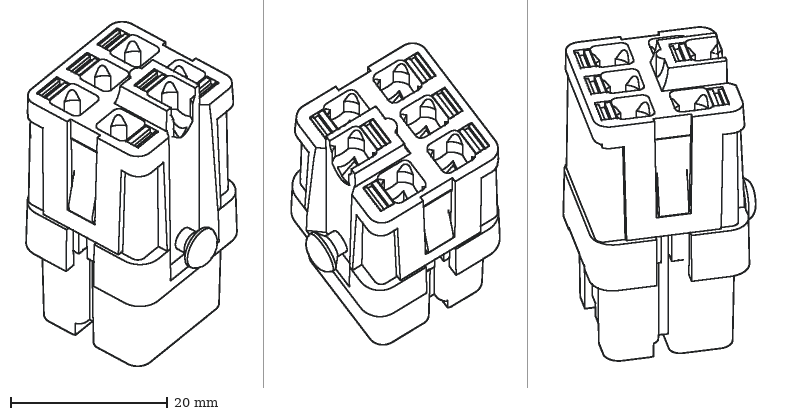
import cadquery as cq

import math

LOWER_GAP_TOP = 14.6
COLLAR_BOTTOM = 12.2
COLLAR_TOP = 19.15
PANEL_BOTTOM = 19.55
RIM_BOTTOM = 33.95
BODY_TOP = 37.25
TOWER_TOP = 40.6

OVERALL_LENGTH = 23.22
COLLAR_WIDTH = 21.0
COLLAR_HALF = COLLAR_WIDTH / 2

LOWER_AT_BOTTOM = (-8.5, 8.5, 8.7)
LOWER_AT_COLLAR = (-8.6, 8.65, 8.95)
COLLAR_AT_BOTTOM = (-COLLAR_HALF, COLLAR_HALF, COLLAR_HALF)
COLLAR_AT_TOP = (-10.4, 10.4, 10.35)
BODY_AT_COLLAR = (-9.95, 8.9, 9.38)
BODY_AT_RIM = (-9.8, 8.73, 9.2)
RIM_AT_TOP = (-10.05, 9.55, 10.0)

PANEL_FACE_AT_BOTTOM = 10.27
PANEL_SLOPE = (PANEL_FACE_AT_BOTTOM - RIM_AT_TOP[2]) / (BODY_TOP - PANEL_BOTTOM)
RIM_AT_BOTTOM = (-10.1, 9.75, RIM_AT_TOP[2] + PANEL_SLOPE * (BODY_TOP - RIM_BOTTOM))

LOWER_DRAFT = math.degrees(math.atan((LOWER_AT_COLLAR[2] - LOWER_AT_BOTTOM[2]) / COLLAR_BOTTOM))

LOWER_RADIUS = 2.05
COLLAR_RADIUS = 3.05
BODY_RADIUS = 1.05
RIM_RADIUS = 2.05

RIM_STEP_X = -9.25
RIM_STEP_HEIGHT = 0.45

POCKET_SIZE = 4.95
POCKET_RADIUS = 0.9
POCKET_PITCH = 6.15
LEFT_POCKET_X = -4.45
RIGHT_POCKET_X = 3.2
TOWER_POCKET_X = 6.65
CORNER_CONE_RADIUS = 3.15
POCKET_BORE_RADIUS = 2.68
CORNER_CONE_START = 0.95
CORNER_CONE_END = 2.4
FUNNEL_START = 5.28
FUNNEL_END = 7.3
FUNNEL_TIP_RADIUS = 1.3
WELL_X = 2.6
WELL_Y = 2.95
WELL_DEPTH = 10.15

SLOT_LENGTH = 4.05
SLOT_STEPS = ((0.75, 0.2), (0.77, 0.9), (0.53, 0.32))
SLOT_WALL = 0.05

TOWER_END_X = 8.53
TOWER_FRONT_AT_TOP = 0.8
TOWER_FRONT_MIDWAY = 0.55
TOWER_FRONT_AT_BASE = -0.05
TOWER_HALF_AT_TOP = 3.3
TOWER_HALF_AT_BASE = 3.4
TOWER_KEY_RADIUS = 1.18

PANEL_HALF_AT_TOP = 6.5
PANEL_HALF_AT_BOTTOM = 6.2
CHANNEL_HALF_AT_TOP = 2.48
CHANNEL_HALF_AT_BOTTOM = 2.27
CHANNEL_BOTTOM = 22.5
CHANNEL_RIM_FLOOR = 9.35
LATCH_HALF_WIDTH = 1.95
LATCH_BOTTOM = 22.65
LATCH_EDGE = 23.7
LATCH_TOP = 28.65
LATCH_FACE = 10.3

COLLAR_GAP_HALF = 2.27
GROOVE_LEFT = -1.4
GROOVE_RIGHT = 0.0
GROOVE_FLOOR = 6.82
GROOVE_EDGE_RADIUS = 1.5

RECESS_HALF = 4.0
RECESS_DEPTH = 0.95
RELIEF_HALF = 4.55
RELIEF_HEIGHT = 0.3
NOTCH_INNER = 2.07
NOTCH_HEIGHT = 2.0
NOTCH_LEFT = -2.27

RIB_OUTER = 5.45
RIB_FACE_AT_COLLAR = 10.35
SCREW_GROOVE_HALF = 3.25
SCREW_GROOVE_FLARE_HALF = 4.95
SCREW_GROOVE_FLARE_X = 10.5
SCREW_Z = 16.65
SHANK_RADIUS = 1.55
HEAD_RADIUS = 2.8
HEAD_START = 10.0
HEAD_EDGE = 11.12
HEAD_EDGE_END = 11.55
HEAD_END = OVERALL_LENGTH - COLLAR_HALF
HEAD_FLAT_RADIUS = 1.45
DOME_MIDPOINT = (12.3, 2.3)

CLEAR = 2.05


def box(x0, x1, y0, y1, z0, z1):
    return cq.Workplane("XY").box(x1 - x0, y1 - y0, z1 - z0, centered=False).translate((x0, y0, z0))


def on_both_sides(shape):
    """The shape together with its mirror image across the plane y = 0."""
    return shape.union(shape.mirror("XZ"))


def rounded_section(section, radius):
    left, right, half = section
    sketch = cq.Sketch().rect(right - left, 2 * half).vertices().fillet(radius)
    return sketch.moved(cq.Location(cq.Vector((left + right) / 2, 0, 0)))


def drafted_block(bottom, top, radius, z0, z1):
    lower = rounded_section(bottom, radius)
    upper = rounded_section(top, radius).moved(cq.Location(cq.Vector(0, 0, z1 - z0)))
    return cq.Workplane("XY", origin=(0, 0, z0)).placeSketch(lower, upper).loft()


def prism_along_y(points, y0, y1):
    return cq.Workplane("XZ", origin=(0, y0, 0)).polyline(points).close().extrude(y0 - y1)


def prism_along_x(points, x0, x1):
    return cq.Workplane("YZ", origin=(x0, 0, 0)).polyline(points).close().extrude(x1 - x0)


def make_housing():
    lower = drafted_block(LOWER_AT_BOTTOM, LOWER_AT_COLLAR, LOWER_RADIUS, 0, COLLAR_BOTTOM)
    collar = drafted_block(COLLAR_AT_BOTTOM, COLLAR_AT_TOP, COLLAR_RADIUS, COLLAR_BOTTOM, COLLAR_TOP)
    body_top = RIM_BOTTOM + RIM_STEP_HEIGHT
    body = drafted_block(BODY_AT_COLLAR, BODY_AT_RIM, BODY_RADIUS, COLLAR_TOP, body_top)
    rim = drafted_block(RIM_AT_BOTTOM, RIM_AT_TOP, RIM_RADIUS, RIM_BOTTOM, BODY_TOP)
    rim_step = box(
        RIM_AT_BOTTOM[0] - CLEAR, RIM_STEP_X, -RIM_AT_BOTTOM[2] - CLEAR, RIM_AT_BOTTOM[2] + CLEAR,
        RIM_BOTTOM, body_top,
    )
    return lower.union(collar).union(body).union(rim.cut(rim_step))


def make_panel():
    """Drafted panel standing proud of the front of the body."""
    side_profile = [
        (0, PANEL_BOTTOM),
        (-PANEL_FACE_AT_BOTTOM, PANEL_BOTTOM),
        (-RIM_AT_BOTTOM[2], RIM_BOTTOM),
        (0, RIM_BOTTOM),
    ]
    outline = [
        (-PANEL_HALF_AT_BOTTOM, PANEL_BOTTOM),
        (PANEL_HALF_AT_BOTTOM, PANEL_BOTTOM),
        (PANEL_HALF_AT_TOP, RIM_BOTTOM),
        (-PANEL_HALF_AT_TOP, RIM_BOTTOM),
    ]
    slab = prism_along_x(side_profile, -PANEL_HALF_AT_TOP, PANEL_HALF_AT_TOP)
    return slab.intersect(prism_along_y(outline, -PANEL_FACE_AT_BOTTOM, 0))


def make_channel():
    """Latch channel, as deep as the body wall in the panel and a little shallower in the rim."""
    outline = [
        (-CHANNEL_HALF_AT_BOTTOM, CHANNEL_BOTTOM),
        (CHANNEL_HALF_AT_BOTTOM, CHANNEL_BOTTOM),
        (CHANNEL_HALF_AT_TOP, BODY_TOP),
        (-CHANNEL_HALF_AT_TOP, BODY_TOP),
    ]
    channel = prism_along_y(outline, -PANEL_FACE_AT_BOTTOM - CLEAR, -BODY_AT_RIM[2])
    sill = box(
        -CHANNEL_HALF_AT_TOP, CHANNEL_HALF_AT_TOP, -CHANNEL_RIM_FLOOR, -BODY_AT_RIM[2], RIM_BOTTOM, BODY_TOP
    )
    return channel.cut(sill)


def make_latch():
    profile = [
        (-BODY_AT_RIM[2], LATCH_BOTTOM),
        (-LATCH_FACE, LATCH_BOTTOM),
        (-LATCH_FACE, LATCH_EDGE),
        (-BODY_AT_RIM[2], LATCH_TOP),
    ]
    return prism_along_x(profile, -LATCH_HALF_WIDTH, LATCH_HALF_WIDTH)


def tilt_to_lower_face(shape):
    """Lean an upright cutter on the bottom edge of the front face, to follow that face's draft."""
    front = -LOWER_AT_BOTTOM[2]
    return shape.rotate((0, front, 0), (1, front, 0), LOWER_DRAFT)


def make_collar_gap():
    """Gap that carries the front face of the lower block up to the panel."""
    front = -LOWER_AT_BOTTOM[2]
    gap = box(-COLLAR_GAP_HALF, COLLAR_GAP_HALF, front - CLEAR, front, COLLAR_BOTTOM, TOWER_TOP)
    below_panel = box(
        -COLLAR_GAP_HALF, COLLAR_GAP_HALF, front - 2 * CLEAR, front + CLEAR, COLLAR_BOTTOM, PANEL_BOTTOM
    )
    return tilt_to_lower_face(gap).intersect(below_panel)


def make_groove():
    """Vertical groove with rounded front edges, square-edged above the rounds."""
    front = -LOWER_AT_BOTTOM[2]
    straight = box(GROOVE_LEFT, GROOVE_RIGHT, front - CLEAR, -GROOVE_FLOOR, 0, PANEL_BOTTOM)
    r = GROOVE_EDGE_RADIUS
    mouth = box(GROOVE_LEFT - r, GROOVE_RIGHT + r, front, front + r, -CLEAR, LOWER_GAP_TOP)
    for x in (GROOVE_LEFT - r, GROOVE_RIGHT + r):
        edge = cq.Workplane("XY", origin=(x, front + r, -CLEAR)).circle(r).extrude(LOWER_GAP_TOP + CLEAR)
        mouth = mouth.cut(edge)
    return straight.union(tilt_to_lower_face(mouth))


def make_bottom_notch():
    """Notch running in from the left side to a round end, with a branch forward along the groove."""
    end_radius = (RECESS_HALF - NOTCH_INNER) / 2
    end_x = GROOVE_RIGHT - end_radius
    inward = box(LOWER_AT_BOTTOM[0], end_x, -RECESS_HALF, -NOTCH_INNER, 0, NOTCH_HEIGHT)
    round_end = (
        cq.Workplane("XY")
        .center(end_x, -NOTCH_INNER - end_radius)
        .circle(end_radius)
        .extrude(NOTCH_HEIGHT)
    )
    forward = box(NOTCH_LEFT, GROOVE_RIGHT, -LOWER_AT_COLLAR[2], -NOTCH_INNER - end_radius, 0, NOTCH_HEIGHT)
    return inward.union(round_end).union(forward)


def make_left_recess():
    outer = COLLAR_AT_BOTTOM[0] - CLEAR
    floor = LOWER_AT_BOTTOM[0] + RECESS_DEPTH
    recess = box(outer, floor, -RECESS_HALF, RECESS_HALF, 0, COLLAR_BOTTOM)
    relief = box(
        outer, LOWER_AT_COLLAR[0], -RELIEF_HALF, RELIEF_HALF, COLLAR_BOTTOM, COLLAR_BOTTOM + RELIEF_HEIGHT
    )
    return recess.union(relief)


def make_rib():
    """Rib on the right side, from the collar up to the rim."""
    profile = [
        (0, COLLAR_TOP),
        (RIB_FACE_AT_COLLAR, COLLAR_TOP),
        (RIM_AT_BOTTOM[1], RIM_BOTTOM),
        (0, RIM_BOTTOM),
    ]
    return prism_along_y(profile, -RIB_OUTER, -SCREW_GROOVE_HALF)


def make_screw_groove():
    """Flared groove in the right side, cut down into the collar as far as the screw head reaches."""
    floor = SCREW_Z - HEAD_RADIUS
    return (
        cq.Workplane("XY", origin=(0, 0, floor))
        .polyline([
            (TOWER_END_X, -SCREW_GROOVE_HALF),
            (SCREW_GROOVE_FLARE_X, -SCREW_GROOVE_FLARE_HALF),
            (SCREW_GROOVE_FLARE_X, SCREW_GROOVE_FLARE_HALF),
            (TOWER_END_X, SCREW_GROOVE_HALF),
        ])
        .close()
        .extrude(TOWER_TOP - floor)
    )


def make_screw():
    return (
        cq.Workplane("XY")
        .moveTo(TOWER_END_X, 0)
        .lineTo(TOWER_END_X, SHANK_RADIUS)
        .lineTo(HEAD_START, SHANK_RADIUS)
        .lineTo(HEAD_EDGE, HEAD_RADIUS)
        .lineTo(HEAD_EDGE_END, HEAD_RADIUS)
        .threePointArc(DOME_MIDPOINT, (HEAD_END, HEAD_FLAT_RADIUS))
        .lineTo(HEAD_END, 0)
        .close()
        .revolve(360, (0, 0, 0), (1, 0, 0))
        .translate((0, 0, SCREW_Z))
    )


def make_tower():
    """Raised block with a hollow sloped left face and drafted sides, and a round key on the slope."""
    end = [
        (-TOWER_HALF_AT_BASE, BODY_TOP),
        (TOWER_HALF_AT_BASE, BODY_TOP),
        (TOWER_HALF_AT_TOP, TOWER_TOP),
        (-TOWER_HALF_AT_TOP, TOWER_TOP),
    ]
    block = (
        cq.Workplane("XZ", origin=(0, TOWER_HALF_AT_BASE, 0))
        .moveTo(TOWER_FRONT_AT_TOP, TOWER_TOP)
        .threePointArc(
            (TOWER_FRONT_MIDWAY, (BODY_TOP + TOWER_TOP) / 2),
            (TOWER_FRONT_AT_BASE, BODY_TOP),
        )
        .lineTo(TOWER_END_X, BODY_TOP)
        .lineTo(TOWER_END_X, TOWER_TOP)
        .close()
        .extrude(2 * TOWER_HALF_AT_BASE)
    )
    block = block.intersect(prism_along_x(end, TOWER_FRONT_AT_BASE, TOWER_END_X))
    key = (
        cq.Workplane("XY", origin=(TOWER_KEY_RADIUS, 0, BODY_TOP))
        .circle(TOWER_KEY_RADIUS)
        .extrude(TOWER_TOP - BODY_TOP)
    )
    return block.union(key)


def make_pocket(x, y, top, side):
    """Rounded-square pocket narrowing to a bore, then a funnel with a square well.

    The floor of the well slopes down away from the slot at `side`.
    """
    square = (
        cq.Workplane("XY", origin=(0, 0, -WELL_DEPTH))
        .rect(POCKET_SIZE, POCKET_SIZE)
        .extrude(WELL_DEPTH)
        .edges("|Z")
        .fillet(POCKET_RADIUS)
    )
    turned = (
        cq.Workplane("XZ")
        .polyline([
            (0, 0),
            (-CORNER_CONE_RADIUS, 0),
            (-CORNER_CONE_RADIUS, -CORNER_CONE_START),
            (-POCKET_BORE_RADIUS, -CORNER_CONE_END),
            (-POCKET_BORE_RADIUS, -FUNNEL_START),
            (-FUNNEL_TIP_RADIUS, -FUNNEL_END),
            (0, -FUNNEL_END),
        ])
        .close()
        .revolve(360, (0, 0, 0), (0, 1, 0))
    )
    well_profile = [
        (side * WELL_X / 2, -FUNNEL_START),
        (side * WELL_X / 2, WELL_X - WELL_DEPTH),
        (-side * WELL_X / 2, -WELL_DEPTH),
        (-side * WELL_X / 2, -FUNNEL_START),
    ]
    well = prism_along_y(well_profile, -WELL_Y / 2, WELL_Y / 2)
    return square.intersect(turned).union(well).translate((x, y, top))


def make_slot(pocket_x, side, y, top):
    """Stepped slot beside a pocket, on its left (side = -1) or its right (side = 1)."""
    slot = cq.Workplane("XY")
    offset = POCKET_SIZE / 2 + SLOT_WALL
    for width, depth in SLOT_STEPS:
        step = cq.Workplane("XY").box(width, SLOT_LENGTH, depth)
        slot = slot.add(step.translate((pocket_x + side * (offset + width / 2), y, top - depth / 2)))
        offset += width
    return slot.combine()


part = make_housing()
part = part.union(on_both_sides(make_panel()))
part = part.union(on_both_sides(make_rib()))
part = part.union(make_tower())
part = part.cut(on_both_sides(make_channel()))
part = part.union(on_both_sides(make_latch()))
part = part.cut(on_both_sides(make_collar_gap()))
part = part.cut(on_both_sides(make_groove()))
part = part.cut(make_left_recess())
part = part.cut(on_both_sides(make_bottom_notch()))
part = part.cut(make_screw_groove())
part = part.union(make_screw())

stations = [(TOWER_POCKET_X, -1, 0, TOWER_TOP)]
for row in (-1, 0, 1):
    stations.append((LEFT_POCKET_X, -1, row * POCKET_PITCH, BODY_TOP))
for row in (-1, 1):
    stations.append((RIGHT_POCKET_X, 1, row * POCKET_PITCH, BODY_TOP))
for station_x, slot_side, station_y, station_top in stations:
    part = part.cut(make_pocket(station_x, station_y, station_top, slot_side))
    part = part.cut(make_slot(station_x, slot_side, station_y, station_top))

result = part